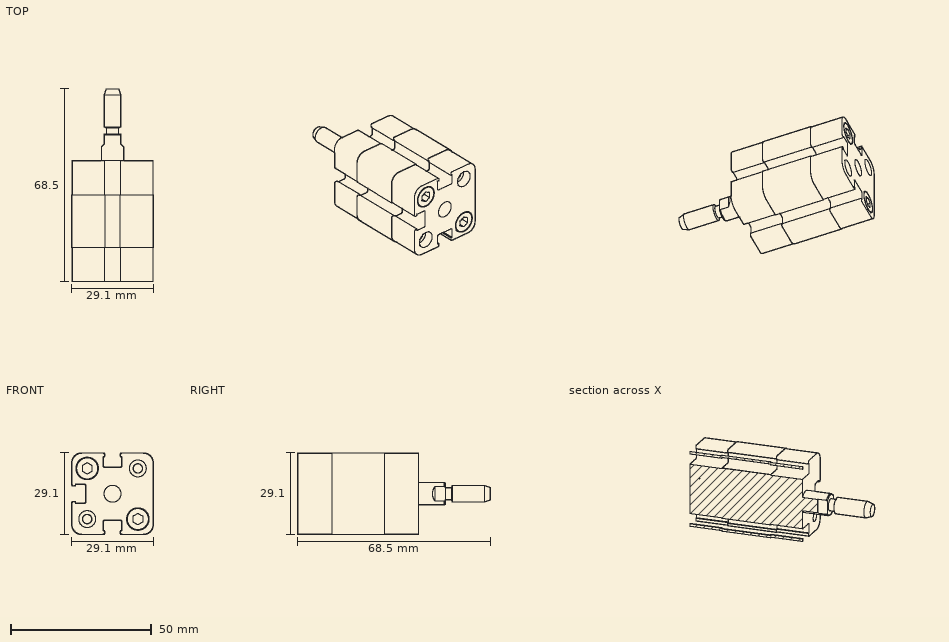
import cadquery as cq
import math


CAP_LENGTH = 12.2
BODY_LENGTH = 43.0
BARREL_LENGTH = BODY_LENGTH - 2 * CAP_LENGTH

BARREL_WIDTH = 29.05
BARREL_STEP = 0.125
CAP_WIDTH = BARREL_WIDTH - 2 * BARREL_STEP
CORNER_RADIUS = 3.5

CAP_MOUTH_WIDTH = 5.6
BARREL_MOUTH_WIDTH = 5.48
SLOT_WIDTH = 6.8
CAP_LIP_UNDERSIDE = 13.15
BARREL_LIP_UNDERSIDE = 13.45
SLOT_FLOOR = 9.4
SLOT_FLOOR_RADIUS = 0.55
CAP_LIP_RADIUS = 0.6
BARREL_LIP_RADIUS = 0.48
SLOT_ANGLES = (0, 90, 180)

CORNER_OFFSET = 9.0
THROUGH_HOLE_DIAMETER = 3.24
COUNTERBORE_DIAMETER = 6.0
COUNTERBORE_DEPTH = 3.5
CENTRE_HOLE_DIAMETER = 6.0
CENTRE_HOLE_DEPTH = 8.0
SCREW_RECESS_DIAMETER = 8.0
SCREW_HEAD_DIAMETER = 7.5
SCREW_GAP_DEPTH = 4.0
HEX_ACROSS_FLATS = 3.5
HEX_DEPTH = 3.0
HEX_TURN = 30

ROD_DIAMETER = 8.0
ROD_END = 52.5
ROD_CHAMFER_LENGTH = 0.4
ROD_CHAMFER_DEPTH = 0.2
FLATS_WIDTH = 6.0
FLATS_LENGTH = 3.6
NECK_DIAMETER = 4.4
THREAD_DIAMETER = 6.0
THREAD_START = 54.6
THREAD_CHAMFER_LENGTH = 0.35
TIP_DIAMETER = 4.5
TIP_LENGTH = 2.15
OVERALL_LENGTH = 68.5


def front_plane(y=0.0):
    """Plane across the body axis; local x is X, local y is Z, its normal is -Y."""
    return cq.Workplane("XZ", origin=(0, y, 0))


def along_y(profile, length):
    """Extrude a profile toward +Y."""
    return profile.extrude(-length)


def t_slot(y_start, length, step, mouth_width, lip_underside, lip_radius):
    """T-slot cutter opening toward +Z, with a rounded mouth and rounded floor corners."""
    outer = CAP_WIDTH / 2 + step
    floor = SLOT_FLOOR + step
    slot_width = SLOT_WIDTH - 2 * step
    half_mouth = mouth_width / 2
    channel = along_y(
        front_plane(y_start)
        .center(0, (floor + lip_underside) / 2)
        .rect(slot_width, lip_underside - floor),
        length,
    )
    channel = channel.edges("|Y and <Z").fillet(SLOT_FLOOR_RADIUS)
    mouth = along_y(
        front_plane(y_start)
        .moveTo(-half_mouth, floor + SLOT_FLOOR_RADIUS)
        .lineTo(half_mouth, floor + SLOT_FLOOR_RADIUS)
        .lineTo(half_mouth, outer - lip_radius)
        .radiusArc((half_mouth + lip_radius, outer), lip_radius)
        .lineTo(-half_mouth - lip_radius, outer)
        .radiusArc((-half_mouth, outer - lip_radius), lip_radius)
        .close(),
        length,
    )
    return channel.union(mouth)


def body_section(y_start, length, step, mouth_width, lip_underside, lip_radius):
    """One stretch of the square body, its three slotted sides standing out from the cap size by step."""
    width = CAP_WIDTH + 2 * step
    section = along_y(front_plane(y_start).rect(width, width), length)
    section = section.edges("|Y").fillet(CORNER_RADIUS)
    slot = t_slot(y_start, length, step, mouth_width, lip_underside, lip_radius)
    for angle in SLOT_ANGLES:
        section = section.cut(slot.rotate((0, 0, 0), (0, 1, 0), -angle))
    return section


def make_body():
    rear_cap = body_section(0, CAP_LENGTH, 0, CAP_MOUTH_WIDTH, CAP_LIP_UNDERSIDE, CAP_LIP_RADIUS)
    barrel = body_section(
        CAP_LENGTH,
        BARREL_LENGTH,
        BARREL_STEP,
        BARREL_MOUTH_WIDTH,
        BARREL_LIP_UNDERSIDE,
        BARREL_LIP_RADIUS,
    )
    front_cap = rear_cap.translate((0, BODY_LENGTH - CAP_LENGTH, 0))
    return rear_cap.union(barrel).union(front_cap)


def make_rod():
    """Stepped rod, revolved about Y, with two wrench flats facing -X and +X."""
    rod_radius = ROD_DIAMETER / 2
    neck_radius = NECK_DIAMETER / 2
    thread_radius = THREAD_DIAMETER / 2
    profile = [
        (0, BODY_LENGTH),
        (rod_radius, BODY_LENGTH),
        (rod_radius, ROD_END - ROD_CHAMFER_LENGTH),
        (rod_radius - ROD_CHAMFER_DEPTH, ROD_END),
        (neck_radius, ROD_END),
        (neck_radius, THREAD_START),
        (thread_radius, THREAD_START + THREAD_CHAMFER_LENGTH),
        (thread_radius, OVERALL_LENGTH - TIP_LENGTH),
        (TIP_DIAMETER / 2, OVERALL_LENGTH),
        (0, OVERALL_LENGTH),
    ]
    rod = cq.Workplane("XY").polyline(profile).close().revolve(360, (0, 0, 0), (0, 1, 0))

    half_flats = FLATS_WIDTH / 2
    flat_end = ROD_END - FLATS_LENGTH
    flat_cutter = (
        cq.Workplane("XY")
        .moveTo(half_flats, ROD_END)
        .lineTo(half_flats, flat_end)
        .lineTo(rod_radius, flat_end - (rod_radius - half_flats))
        .lineTo(rod_radius, ROD_END)
        .close()
        .extrude(rod_radius, both=True)
    )
    return rod.cut(flat_cutter).cut(flat_cutter.mirror("YZ"))


def rear_holes():
    """Centre hole and the two counterbored through holes."""
    corners = [(CORNER_OFFSET, CORNER_OFFSET), (-CORNER_OFFSET, -CORNER_OFFSET)]
    centre = along_y(front_plane().circle(CENTRE_HOLE_DIAMETER / 2), CENTRE_HOLE_DEPTH)
    through = along_y(front_plane().pushPoints(corners).circle(THROUGH_HOLE_DIAMETER / 2), BODY_LENGTH)
    counterbores = along_y(
        front_plane().pushPoints(corners).circle(COUNTERBORE_DIAMETER / 2), COUNTERBORE_DEPTH
    )
    return centre.union(through).union(counterbores)


def screw_recesses():
    """Clearance ring and hexagon socket of the two flush screw heads."""
    corners = [(-CORNER_OFFSET, CORNER_OFFSET), (CORNER_OFFSET, -CORNER_OFFSET)]
    rings = along_y(
        front_plane().pushPoints(corners).circle(SCREW_RECESS_DIAMETER / 2).circle(SCREW_HEAD_DIAMETER / 2),
        SCREW_GAP_DEPTH,
    )
    hex_across_corners = HEX_ACROSS_FLATS / math.cos(math.pi / 6)
    recesses = rings
    for x, z in corners:
        socket = along_y(front_plane().polygon(6, hex_across_corners), HEX_DEPTH)
        socket = socket.rotate((0, 0, 0), (0, 1, 0), HEX_TURN)
        recesses = recesses.union(socket.translate((x, 0, z)))
    return recesses


result = make_body().union(make_rod()).cut(rear_holes()).cut(screw_recesses())